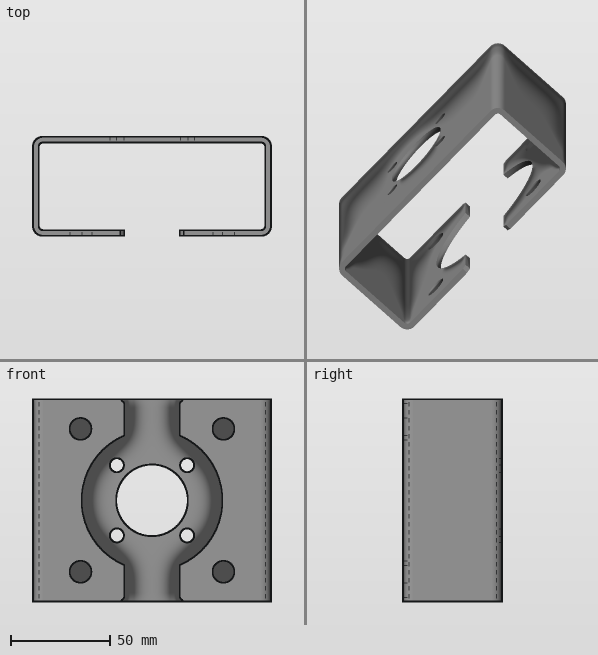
import cadquery as cq
import math

width = 120.0
depth = 50.0
height = 102.0
sheet = 3.0
bend_outer_radius = 5.0
bend_inner_radius = bend_outer_radius - sheet

slot_width = 27.8
lip_chamfer = 2.0
clearance_diameter = 71.0

lip_hole_diameter = 11.0
lip_hole_spacing = 72.0
bore_diameter = 36.0
bolt_hole_diameter = 7.0
bolt_circle_diameter = 50.0

front_y = -depth / 2
back_y = depth / 2
cut_depth = 2 * sheet


def cutting_plane(y):
    """XZ sketch plane at y whose positive extrusion runs toward -Y."""
    return cq.Workplane("XZ", origin=(0, y, 0))


def rounded_tube():
    """Closed rectangular tube along Z with concentric bend radii."""
    outer = cq.Workplane("XY").box(width, depth, height).edges("|Z").fillet(bend_outer_radius)
    inner = (
        cq.Workplane("XY")
        .box(width - 2 * sheet, depth - 2 * sheet, height)
        .edges("|Z")
        .fillet(bend_inner_radius)
    )
    return outer.cut(inner)


def front_opening():
    """Slot with flared ends, widened at mid height by a round clearance."""
    half_slot = slot_width / 2
    half_flare = half_slot + lip_chamfer
    top = height / 2
    flare_start = top - lip_chamfer
    slot = (
        cutting_plane(front_y + cut_depth)
        .polyline([
            (-half_flare, top),
            (half_flare, top),
            (half_slot, flare_start),
            (half_slot, -flare_start),
            (half_flare, -top),
            (-half_flare, -top),
            (-half_slot, -flare_start),
            (-half_slot, flare_start),
        ])
        .close()
        .extrude(2 * cut_depth)
    )
    clearance = cutting_plane(front_y + cut_depth).circle(clearance_diameter / 2).extrude(2 * cut_depth)
    return slot.union(clearance)


def square_hole_pattern(y, spacing, diameter):
    """Four cylinders on a centred square, passing through the wall at y."""
    return (
        cutting_plane(y + cut_depth)
        .rarray(spacing, spacing, 2, 2)
        .circle(diameter / 2)
        .extrude(2 * cut_depth)
    )


bore = cutting_plane(back_y + cut_depth).circle(bore_diameter / 2).extrude(2 * cut_depth)
bolt_hole_spacing = bolt_circle_diameter / math.sqrt(2)

result = (
    rounded_tube()
    .cut(front_opening())
    .cut(square_hole_pattern(front_y, lip_hole_spacing, lip_hole_diameter))
    .cut(bore)
    .cut(square_hole_pattern(back_y, bolt_hole_spacing, bolt_hole_diameter))
)